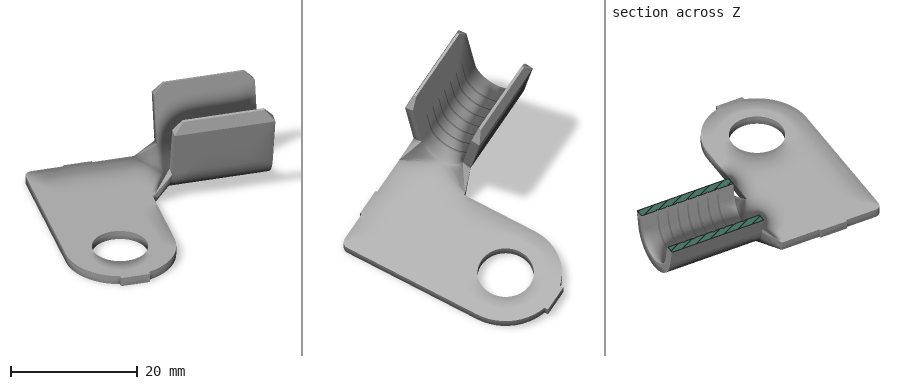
import cadquery as cq
import math

sheet = 1.5
hole_diameter = 8.9
tongue_width = 17.8
tongue_left = -25.05
corner_radius = 1.25

tab_width = 4.75
tab_right = 9.2
tab_left = -25.35

barrel_axis_x = -19.0
barrel_half_width = 6.85
barrel_end_y = 28.82
barrel_length = 16.52
part_height = 14.61
bend_radius = 3.85
wing_angle = math.radians(11)

tip_thickness = 0.45
end_bevel_length = 1.6

groove_count = 7
groove_pitch = 1.79
groove_width = 0.3
groove_depth = 0.15
groove_half_span = 4.47

neck_start_y = 9.16

tongue_half = tongue_width / 2
barrel_start_y = barrel_end_y - barrel_length
barrel_mid_y = barrel_end_y - barrel_length / 2
neck_half_width = barrel_axis_x - tongue_left
bend_centre_z = sheet + bend_radius
outer_radius = bend_radius + sheet
wing_sin = math.sin(wing_angle)
wing_cos = math.cos(wing_angle)
bend_sweep = math.pi / 2 - wing_angle
wing_length = (part_height - bend_centre_z + bend_radius * wing_sin) / wing_cos
bevel_start = (barrel_half_width - outer_radius * wing_cos) / wing_sin
groove_reach = (groove_half_span - bend_radius * wing_cos) / wing_sin


def wing_point(radius, distance, side=1):
    """Wing point (x from barrel axis, z): tangent to the bend radius, then a distance up the wing."""
    x = radius * wing_cos + distance * wing_sin
    z = bend_centre_z - radius * wing_sin + distance * wing_cos
    return (side * x, z)


def section_plane(y):
    """Plane across the barrel at y, facing -Y; a negative extrusion runs toward +Y."""
    return cq.Plane(origin=(barrel_axis_x, y, 0), xDir=(1, 0, 0), normal=(0, -1, 0))


def half_bend(radius, side, y):
    """Bend arc of one side, from its bottom up to the wing."""
    ends = []
    for angle in (0, bend_sweep / 2, bend_sweep):
        x = barrel_axis_x + side * radius * math.sin(angle)
        ends.append(cq.Vector(x, y, bend_centre_z - radius * math.cos(angle)))
    return cq.Edge.makeThreePointArc(*ends)


def u_face(y, inner_radius, thickness, reach=0):
    """Section of a U-shaped strip: round bottom with straight wings of the given reach."""
    outer = inner_radius + thickness
    plane = section_plane(y)
    edges = []
    for side in (-1, 1):
        inner_tip = plane.toWorldCoords(wing_point(inner_radius, reach, side))
        outer_tip = plane.toWorldCoords(wing_point(outer, reach, side))
        edges.append(cq.Edge.makeLine(inner_tip, outer_tip))
        for radius, tip in ((inner_radius, inner_tip), (outer, outer_tip)):
            arc = half_bend(radius, side, y)
            edges.append(arc)
            if reach > 0:
                edges.append(cq.Edge.makeLine(arc.endPoint(), tip))
    return cq.Face.makeFromWires(cq.Wire.combine(edges)[0])


def u_strip(y, length, inner_radius, thickness, reach):
    """U-shaped strip that runs from y toward +Y."""
    face = u_face(y, inner_radius, thickness, reach)
    return cq.Workplane(cq.Solid.extrudeLinear(face, cq.Vector(0, length, 0)))


def make_tongue():
    """Flat tongue with a rounded end, bolt hole and end tabs."""
    body = (
        cq.Workplane("XY")
        .moveTo(tongue_left, -tongue_half)
        .lineTo(0, -tongue_half)
        .threePointArc((tongue_half, 0), (0, tongue_half))
        .lineTo(barrel_axis_x + neck_half_width, tongue_half)
        .lineTo(barrel_axis_x + neck_half_width, neck_start_y)
        .lineTo(tongue_left, neck_start_y)
        .close()
        .extrude(sheet)
        .edges("|Z and <X and <Y")
        .fillet(corner_radius)
    )
    tab_bar = (
        cq.Workplane("XY")
        .center((tab_left + tab_right) / 2, 0)
        .rect(tab_right - tab_left, tab_width)
        .extrude(sheet)
    )
    hole = cq.Workplane("XY").circle(hole_diameter / 2).extrude(sheet)
    return body.union(tab_bar).cut(hole)


def tip_bevel(side):
    """Wedge that thins the outer face of one wing toward its tip."""
    return (
        cq.Workplane(section_plane(barrel_start_y))
        .polyline(
            [
                wing_point(outer_radius, bevel_start, side),
                wing_point(bend_radius + tip_thickness, wing_length, side),
                wing_point(outer_radius, wing_length, side),
            ]
        )
        .close()
        .extrude(-barrel_length)
    )


def end_bevel(side, end_y, toward_middle):
    """Wedge that slopes one end of a wing, cut square to the sheet."""
    base_x, base_z = wing_point(bend_radius, 0, side)
    wing_plane = cq.Plane(
        origin=(barrel_axis_x + base_x, end_y, base_z),
        xDir=(0, toward_middle, 0),
        normal=(side * wing_cos, 0, -wing_sin),
    )
    up_sign = side * toward_middle
    return (
        cq.Workplane(wing_plane)
        .polyline(
            [
                (0, up_sign * bevel_start),
                (end_bevel_length, up_sign * wing_length),
                (0, up_sign * wing_length),
            ]
        )
        .close()
        .extrude(sheet)
    )


def make_barrel():
    """U-shaped barrel with bevelled wings and cross grooves."""
    barrel = u_strip(barrel_start_y, barrel_length, bend_radius, sheet, wing_length)
    for side in (-1, 1):
        barrel = barrel.cut(tip_bevel(side), clean=False)
        barrel = barrel.cut(end_bevel(side, barrel_start_y, 1), clean=False)
        barrel = barrel.cut(end_bevel(side, barrel_end_y, -1), clean=False)
    for index in range(groove_count):
        groove_y = barrel_mid_y + (index - (groove_count - 1) / 2) * groove_pitch
        groove = u_strip(groove_y - groove_width / 2, groove_width, bend_radius, groove_depth, groove_reach)
        barrel = barrel.cut(groove, clean=False)
    return barrel


def neck_corner(side, z):
    """Corner where the neck leaves the tongue."""
    return cq.Vector(barrel_axis_x + side * neck_half_width, neck_start_y, z)


def flat_face(*points):
    return cq.Face.makeFromWires(cq.Wire.makePolygon(list(points), close=True))


def make_neck():
    """Neck that blends the flat tongue into the round bend with flat triangles and cone patches."""
    faces = [u_face(barrel_start_y, bend_radius, sheet)]
    for radius, z in ((bend_radius, sheet), (outer_radius, 0)):
        bottom = half_bend(radius, 1, barrel_start_y).startPoint()
        faces.append(flat_face(neck_corner(-1, z), neck_corner(1, z), bottom))
        for side in (-1, 1):
            arc = half_bend(radius, side, barrel_start_y)
            apex = cq.Vertex.makeVertex(*neck_corner(side, z).toTuple())
            faces += cq.occ_impl.shapes.loft(arc, apex, ruled=True).Faces()
    for side in (-1, 1):
        inner_end = half_bend(bend_radius, side, barrel_start_y).endPoint()
        outer_end = half_bend(outer_radius, side, barrel_start_y).endPoint()
        top_corner = neck_corner(side, sheet)
        faces.append(flat_face(top_corner, inner_end, outer_end))
        faces.append(flat_face(top_corner, neck_corner(side, 0), outer_end))
    faces.append(
        flat_face(neck_corner(-1, 0), neck_corner(1, 0), neck_corner(1, sheet), neck_corner(-1, sheet))
    )
    return cq.Workplane(cq.Solid.makeSolid(cq.Shell.makeShell(faces)))


lug = make_tongue().union(make_neck(), clean=False).union(make_barrel(), clean=False)
result = lug.solids()